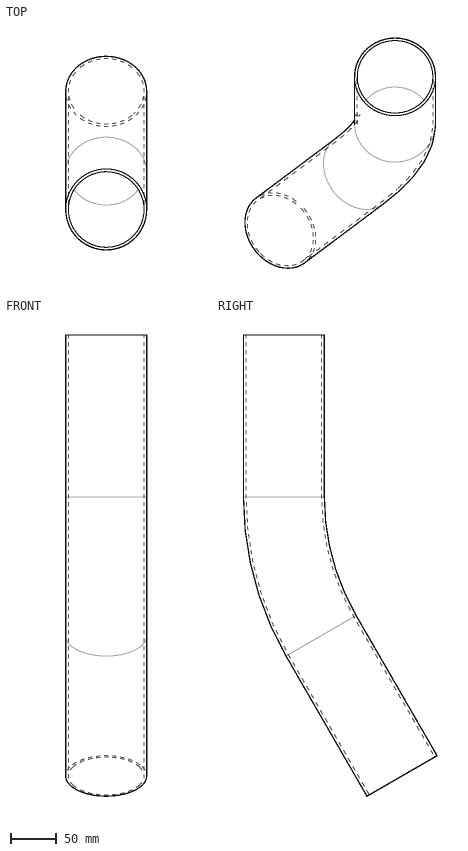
import cadquery as cq
import math

outer_diameter = 89.0
inner_diameter = 83.0
leg_length = 177.5
bend_radius = 305.0
bend_angle = 30.0


def bend_point(angle):
    """Centreline (Y, Z) after turning by angle degrees from the upper leg."""
    turn = math.radians(angle)
    return (bend_radius * (1 - math.cos(turn)), -bend_radius * math.sin(turn))


bend_end = bend_point(bend_angle)
lower_end = (
    bend_end[0] + leg_length * math.sin(math.radians(bend_angle)),
    bend_end[1] - leg_length * math.cos(math.radians(bend_angle)),
)
centreline = (
    cq.Workplane("YZ")
    .moveTo(0, leg_length)
    .lineTo(0, 0)
    .threePointArc(bend_point(bend_angle / 2), bend_end)
    .lineTo(*lower_end)
)

result = (
    cq.Workplane("XY", origin=(0, 0, leg_length))
    .circle(outer_diameter / 2)
    .circle(inner_diameter / 2)
    .sweep(centreline)
)